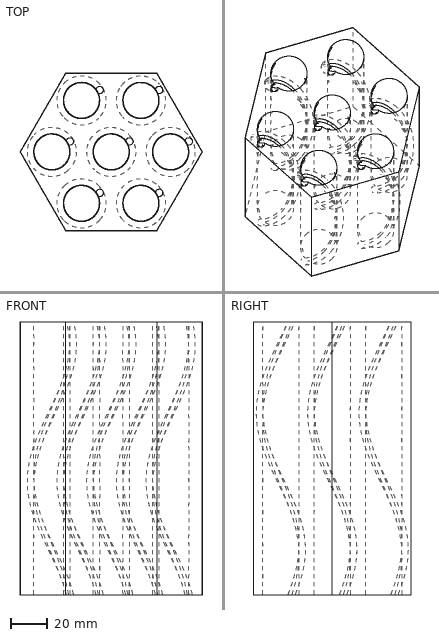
import cadquery as cq
import math

hex_sides = 6
hex_across_corners = 100.0
block_height = 150.0

bore_radius = 10.0
bore_spacing = 32.6
outer_bore_count = 6

channel_radius = 2.0
channel_orbit_radius = 11.5
channel_start_angle = math.radians(30.0)
channel_twist = 360.0


def polar(radius, angle):
    """Point at the given radius and angle (radians) from the origin."""
    return (radius * math.cos(angle), radius * math.sin(angle))


def make_block():
    """Hexagonal prism with two corners on the X axis, standing on Z = 0."""
    return cq.Workplane("XY").polygon(hex_sides, hex_across_corners).extrude(block_height)


def bore_centers():
    """Middle of the block, then evenly spaced points around it starting on +X."""
    step = 2.0 * math.pi / outer_bore_count
    ring = [polar(bore_spacing, index * step) for index in range(outer_bore_count)]
    return [(0.0, 0.0)] + ring


def make_grooved_bore():
    """Bore on the Z axis joined with its channel, twisted once about that axis.

    The cross-section is the bore circle with a small circular lobe on its side.
    Two arcs draw it, meeting where the bore and channel circles cross.
    """
    orbit = channel_orbit_radius
    cos_half_mouth = (bore_radius**2 + orbit**2 - channel_radius**2) / (2.0 * bore_radius * orbit)
    half_mouth_angle = math.acos(cos_half_mouth)
    mouth_start = polar(bore_radius, channel_start_angle - half_mouth_angle)
    mouth_end = polar(bore_radius, channel_start_angle + half_mouth_angle)
    lobe_tip = polar(orbit + channel_radius, channel_start_angle)
    bore_far_side = polar(bore_radius, channel_start_angle + math.pi)
    return (
        cq.Workplane("XY")
        .moveTo(*mouth_start)
        .threePointArc(lobe_tip, mouth_end)
        .threePointArc(bore_far_side, mouth_start)
        .close()
        .twistExtrude(block_height, channel_twist)
    )


block = make_block()
grooved_bore = make_grooved_bore()
for x, y in bore_centers():
    block = block.cut(grooved_bore.translate((x, y, 0.0)))

result = cq.Workplane("XY").newObject([block.solids().val()])